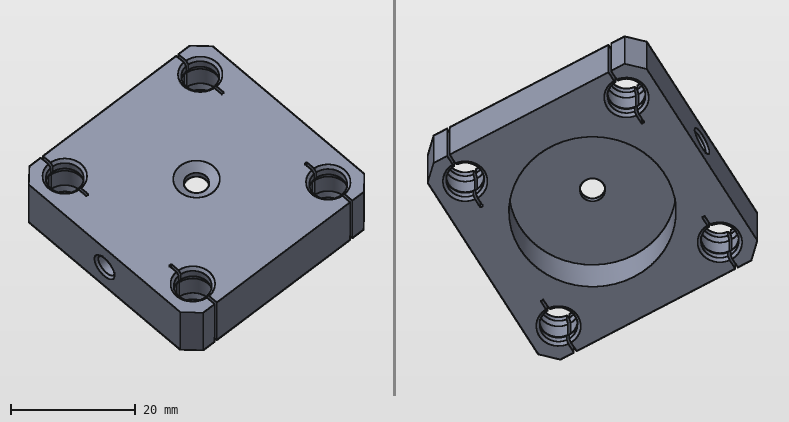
import cadquery as cq
import math

side = 40.6
thickness = 10.0
corner_chamfer = 2.6

rod_offset = 14.95
rod_radius = 3.05
rod_mouth_radius = 3.57
rod_mouth_depth = rod_mouth_radius - rod_radius
rod_land_height = 1.42
rod_relief_radius = 3.45
rod_taper_height = 1.15

slit_width = 0.5
slit_inner_end = 9.65

neck_radius = 2.05
countersink_radius = 3.75
countersink_angle = 120.0
countersink_depth = (countersink_radius - neck_radius) / math.tan(math.radians(countersink_angle / 2))
neck_height = 1.05
top_wall = countersink_depth + neck_height
recess_radius = 13.4

side_hole_radius = 1.9
side_hole_mouth_radius = 2.35
side_hole_mouth_depth = side_hole_mouth_radius - side_hole_radius
side_hole_depth = 5.0


def turned(points):
    """Solid of revolution about Z from (radius, height) points."""
    return cq.Workplane("XZ").polyline(points).close().revolve(360, (0, 0, 0), (0, 1, 0))


def rod_bore():
    """Bore with chamfered mouths, a land at each end and a wider relief in the middle."""
    half = thickness / 2
    land_start = half - rod_mouth_depth
    land_end = land_start - rod_land_height
    relief_start = land_end - rod_taper_height
    upper = [
        (rod_mouth_radius, half),
        (rod_radius, land_start),
        (rod_radius, land_end),
        (rod_relief_radius, relief_start),
    ]
    lower = [(radius, -height) for radius, height in reversed(upper)]
    return turned([(0, half)] + upper + lower + [(0, -half)])


def slit(x_sign, y_sign):
    """Full-height slit from the side face through a rod bore."""
    length = side / 2 - slit_inner_end
    centre_x = slit_inner_end + length / 2
    return cq.Workplane("XY").box(length, slit_width, thickness).translate(
        (x_sign * centre_x, y_sign * rod_offset, 0)
    )


def centre_hole():
    """Countersunk hole opening into the wide bottom recess."""
    top = thickness / 2
    neck_top = top - countersink_depth
    recess_top = top - top_wall
    return turned([
        (0, top),
        (countersink_radius, top),
        (neck_radius, neck_top),
        (neck_radius, recess_top),
        (recess_radius, recess_top),
        (recess_radius, -top),
        (0, -top),
    ])


def side_hole():
    """Flat-ended blind hole along +Y from the front face, with a chamfered mouth."""
    hole = turned([
        (0, 0),
        (side_hole_mouth_radius, 0),
        (side_hole_radius, side_hole_mouth_depth),
        (side_hole_radius, side_hole_depth),
        (0, side_hole_depth),
    ])
    return hole.rotate((0, 0, 0), (1, 0, 0), -90).translate((0, -side / 2, 0))


plate = cq.Workplane("XY").box(side, side, thickness).edges("|Z").chamfer(corner_chamfer)

for x_sign in (-1, 1):
    for y_sign in (-1, 1):
        plate = plate.cut(rod_bore().translate((x_sign * rod_offset, y_sign * rod_offset, 0)))
        plate = plate.cut(slit(x_sign, y_sign))

plate = plate.cut(centre_hole())
plate = plate.cut(side_hole())

result = plate